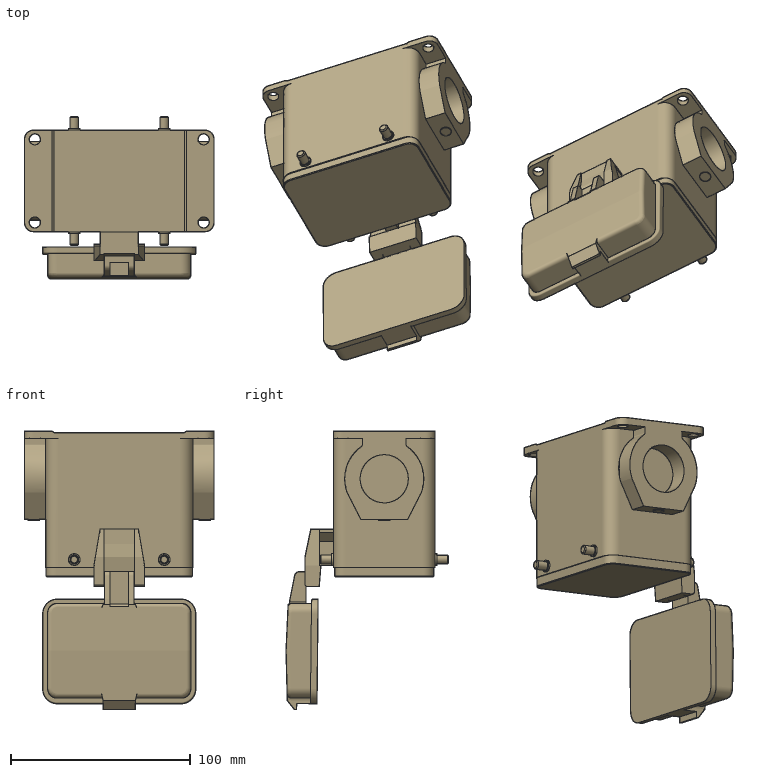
import cadquery as cq
import math


PLATE_LENGTH = 105.5
PLATE_DEPTH = 56.5
PLATE_TOP = 155.0
PLATE_THICKNESS = 4.0
PLATE_BOTTOM = PLATE_TOP - PLATE_THICKNESS
PLATE_CORNER = 5.1
SCREW_HOLE_DIAMETER = 6.0
SCREW_PITCH_X = 94.0
SCREW_PITCH_Y = 46.2
RELIEF_DEPTH = 0.8
RELIEF_TOP_WIDTH = 74.7
RELIEF_FLOOR_WIDTH = 72.4

BODY_LENGTH = 81.8
BODY_CORNER = 7.0
LIP_TOP = 79.0
LIP_BOTTOM = 74.0
LIP_SIDE_INSET = 0.6
LIP_END_INSET = 0.2
LIP_CORNER = 5.7
LIP_CHAMFER = 0.5
FRONT_WALL = -PLATE_DEPTH / 2

ENTRY_Z = 128.5
ENTRY_RADIUS = 22.0
ENTRY_BORE_DIAMETER = 26.8
ENTRY_NECK_WIDTH = 24.3
ENTRY_NECK_HALF = ENTRY_NECK_WIDTH / 2
ENTRY_NECK_FILLET = 1.2
ENTRY_FOOT_HALF = 13.0
ENTRY_FOOT_Z = 105.9
ENTRY_FLANK_Z = 120.7
ENTRY_LENGTH = (PLATE_LENGTH - BODY_LENGTH) / 2
KNOB_RADIUS = 3.1
KNOB_HEIGHT = 0.6
KNOB_X = 47.6

PIN_SPACING = 50.0
PIN_Z = 83.5
PIN_RADIUS = 2.5
PIN_TIP_Y = 35.8
PIN_LENGTH = PIN_TIP_Y - PLATE_DEPTH / 2
PIN_CHAMFER = 0.6
COLLAR_RADIUS = 3.3
COLLAR_LENGTH = 1.0

BRACKET_TOP = 100.5
BRACKET_BOTTOM = 68.5
CAP_THICKNESS = 1.9
CAP_HALF = 10.7
ARM_HALF = 14.1
ARM_TAPER_END = 80.1
ARM_CREASE_Z = 84.8
ARM_BACK = -36.1
ARM_BACK_STEP = 1.0
ARM_TOP_FRONT = -40.9
ARM_FRONT = -44.2
ARM_TOE = 1.0
CHANNEL_HALF = 8.4
CHANNEL_TOP_FRONT = -40.3
CHANNEL_BEND_FRONT = -40.8
CHANNEL_BEND_Z = 92.0
CHANNEL_CREASE_FRONT = -41.8
CHANNEL_WEB_FRONT = -40.9
GUSSET_BOTTOM = 93.6
STEM_HALF = 3.4
STEM_BOTTOM = 80.1

CLEARANCE = 3.1

LID_TILT = -0.6
LID_BACK = -37.0
LID_PEAK = -54.7
LID_EDGE_DROP = 1.0
LID_MIDDLE_Z = 32.7
FLANGE_LENGTH = 85.2
FLANGE_BOTTOM = 3.3
FLANGE_TOP = 61.5
FLANGE_THICKNESS = 3.7
FLANGE_CORNER = 8.2
FLANGE_FILLET = 0.8
DOME_LENGTH = 79.7
DOME_HEIGHT = 52.7
DOME_CORNER = 5.3
DOME_FILLET = 2.3

TAB_HALF = 8.2
TAB_BACK = -43.4
TAB_TOP = 76.9
TAB_OVERLAP = 0.3
TAB_TOP_BACK = CHANNEL_WEB_FRONT + TAB_OVERLAP
TAB_TOP_FRONT = -49.5
TAB_BEND_FRONT = -52.5
TAB_BEND_Z = 61.4
TAB_ROOT_FRONT = -53.3
TAB_ROOT_Z = 55.8
TAB_BLEND_TOP = 58.3
TAB_ROUND = 2.8
TAB_FLARE = 1.5
TAB_FLARE_LOW = 56.7
TAB_FLARE_HIGH = 59.8
TAB_POCKET_HALF = 5.1
TAB_POCKET_FLOOR = 57.3
TAB_POCKET_STEP = 1.4
TAB_POCKET_BACK = -45.3
TAB_POCKET_LIP = -52.7

HOOK_HALF = 9.0
HOOK_ROOT_Z = 10.8
HOOK_SLOPE_TOP = 5.0
HOOK_TIP_FRONT = -49.6
HOOK_TIP_BACK = -48.4
HOOK_TIP_Z = (LID_BACK - HOOK_TIP_BACK) * math.sin(math.radians(LID_TILT))
HOOK_INNER_END = -38.7
HOOK_FLARE = 0.8
HOOK_FLARE_HIGH = 8.4


def side_prism(points, half_width):
    """Prism across X whose outline is given as (y, z) points."""
    return cq.Workplane("YZ").polyline(points).close().extrude(half_width, both=True)


def front_prism(half_outline, start_y, depth):
    """Mirrored prism toward -Y; half_outline lists (x, z) points down the +X side."""
    mirrored = [(-x, z) for x, z in reversed(half_outline)]
    sketch = cq.Workplane("XZ", origin=(0, start_y, 0)).polyline(half_outline + mirrored)
    return sketch.close().extrude(depth)


def rounded_block(length, depth, bottom, top, corner):
    block = cq.Workplane("XY").workplane(offset=bottom).rect(length, depth).extrude(top - bottom)
    return block.edges("|Z").fillet(corner)


def make_housing():
    plate = rounded_block(PLATE_LENGTH, PLATE_DEPTH, PLATE_BOTTOM, PLATE_TOP, PLATE_CORNER)
    holes = (
        cq.Workplane("XY").workplane(offset=PLATE_BOTTOM)
        .rect(SCREW_PITCH_X, SCREW_PITCH_Y, forConstruction=True).vertices()
        .circle(SCREW_HOLE_DIAMETER / 2).extrude(PLATE_THICKNESS)
    )
    relief = (
        cq.Workplane("XZ")
        .moveTo(-RELIEF_TOP_WIDTH / 2, PLATE_TOP)
        .lineTo(RELIEF_TOP_WIDTH / 2, PLATE_TOP)
        .lineTo(RELIEF_FLOOR_WIDTH / 2, PLATE_TOP - RELIEF_DEPTH)
        .lineTo(-RELIEF_FLOOR_WIDTH / 2, PLATE_TOP - RELIEF_DEPTH)
        .close().extrude(PLATE_DEPTH, both=True)
    )
    body = rounded_block(BODY_LENGTH, PLATE_DEPTH, LIP_TOP, PLATE_BOTTOM, BODY_CORNER)
    lip_length = BODY_LENGTH - 2 * LIP_END_INSET
    lip_depth = PLATE_DEPTH - 2 * LIP_SIDE_INSET
    lip = rounded_block(lip_length, lip_depth, LIP_BOTTOM, LIP_TOP, LIP_CORNER)
    lip = lip.faces("<Z").edges().chamfer(LIP_CHAMFER)
    return plate.cut(holes).cut(relief).union(body).union(lip)


def make_entry(side):
    """Cable entry with a blind bore; side is -1 or +1 along X."""
    neck_z = ENTRY_Z + math.sqrt(ENTRY_RADIUS**2 - ENTRY_NECK_HALF**2)
    flank_half = math.sqrt(ENTRY_RADIUS**2 - (ENTRY_Z - ENTRY_FLANK_Z)**2)
    start = cq.Workplane("YZ").workplane(offset=side * PLATE_LENGTH / 2)
    entry = (
        start.moveTo(-ENTRY_NECK_HALF, PLATE_BOTTOM)
        .lineTo(-ENTRY_NECK_HALF, neck_z)
        .threePointArc((-ENTRY_RADIUS, ENTRY_Z), (-flank_half, ENTRY_FLANK_Z))
        .lineTo(-ENTRY_FOOT_HALF, ENTRY_FOOT_Z)
        .lineTo(ENTRY_FOOT_HALF, ENTRY_FOOT_Z)
        .lineTo(flank_half, ENTRY_FLANK_Z)
        .threePointArc((ENTRY_RADIUS, ENTRY_Z), (ENTRY_NECK_HALF, neck_z))
        .lineTo(ENTRY_NECK_HALF, PLATE_BOTTOM)
        .close().extrude(-side * ENTRY_LENGTH)
    )
    reach = ENTRY_NECK_FILLET / 2
    neck_zone = cq.selectors.BoxSelector(
        (-PLATE_LENGTH, -ENTRY_NECK_HALF - reach, neck_z - reach),
        (PLATE_LENGTH, ENTRY_NECK_HALF + reach, neck_z + reach),
    )
    entry = entry.edges("|X").edges(neck_zone).fillet(ENTRY_NECK_FILLET)
    bore = start.center(0, ENTRY_Z).circle(ENTRY_BORE_DIAMETER / 2).extrude(-side * ENTRY_LENGTH)
    knob = (
        cq.Workplane("XY").workplane(offset=ENTRY_FOOT_Z - KNOB_HEIGHT)
        .center(side * KNOB_X, 0).circle(KNOB_RADIUS).extrude(2 * KNOB_HEIGHT)
    )
    return entry.cut(bore).union(knob)


def make_pins(side):
    """Two collared pins on one long wall; side is -1 or +1 along Y."""
    wall = cq.Workplane("XZ", origin=(0, side * PLATE_DEPTH / 2, 0))
    spots = [(-PIN_SPACING / 2, PIN_Z), (PIN_SPACING / 2, PIN_Z)]
    collars = wall.pushPoints(spots).circle(COLLAR_RADIUS).extrude(-side * COLLAR_LENGTH)
    pins = wall.pushPoints(spots).circle(PIN_RADIUS).extrude(-side * PIN_LENGTH)
    tip = ">Y" if side > 0 else "<Y"
    return pins.faces(tip).edges().chamfer(PIN_CHAMFER).union(collars)


def make_bracket():
    arms = side_prism(
        [
            (ARM_BACK, BRACKET_TOP),
            (ARM_TOP_FRONT, BRACKET_TOP),
            (ARM_FRONT, ARM_CREASE_Z),
            (ARM_FRONT, BRACKET_BOTTOM + ARM_TOE),
            (ARM_FRONT + ARM_TOE, BRACKET_BOTTOM),
            (ARM_BACK, BRACKET_BOTTOM),
            (ARM_BACK + ARM_BACK_STEP, STEM_BOTTOM),
            (ARM_BACK, STEM_BOTTOM),
        ],
        ARM_HALF,
    )
    taper = front_prism(
        [
            (CAP_HALF, BRACKET_TOP),
            (ARM_HALF, ARM_TAPER_END),
            (ARM_HALF, BRACKET_BOTTOM),
        ],
        FRONT_WALL,
        FRONT_WALL - ARM_FRONT,
    )
    channel_front = ARM_FRONT - CLEARANCE
    channel = side_prism(
        [
            (CHANNEL_TOP_FRONT, BRACKET_TOP),
            (CHANNEL_BEND_FRONT, CHANNEL_BEND_Z),
            (CHANNEL_CREASE_FRONT, ARM_CREASE_Z),
            (CHANNEL_WEB_FRONT, TAB_TOP),
            (CHANNEL_WEB_FRONT, BRACKET_BOTTOM - CLEARANCE),
            (channel_front, BRACKET_BOTTOM - CLEARANCE),
            (channel_front, BRACKET_TOP),
        ],
        CHANNEL_HALF,
    )
    stem = front_prism(
        [
            (CAP_HALF, BRACKET_TOP),
            (CAP_HALF, BRACKET_TOP - CAP_THICKNESS),
            (STEM_HALF, GUSSET_BOTTOM),
            (STEM_HALF, STEM_BOTTOM),
        ],
        FRONT_WALL,
        FRONT_WALL - ARM_BACK,
    )
    return arms.intersect(taper).cut(channel).union(stem)


def lid_face_y(z):
    """Y of the creased front face of the lid, before it is tilted."""
    return LID_PEAK + LID_EDGE_DROP * abs(z - LID_MIDDLE_Z) / (DOME_HEIGHT / 2)


def make_lid_shell():
    flange_height = FLANGE_TOP - FLANGE_BOTTOM
    flange = (
        cq.Workplane("XZ", origin=(0, LID_BACK, FLANGE_BOTTOM + flange_height / 2))
        .rect(FLANGE_LENGTH, flange_height).extrude(FLANGE_THICKNESS)
        .edges("|Y").fillet(FLANGE_CORNER)
        .faces("<Y").edges().fillet(FLANGE_FILLET)
    )
    dome_low = LID_MIDDLE_Z - DOME_HEIGHT / 2
    dome_high = LID_MIDDLE_Z + DOME_HEIGHT / 2
    dome = side_prism(
        [
            (LID_BACK, dome_low),
            (lid_face_y(dome_low), dome_low),
            (LID_PEAK, LID_MIDDLE_Z),
            (lid_face_y(dome_high), dome_high),
            (LID_BACK, dome_high),
        ],
        DOME_LENGTH / 2,
    )
    dome = dome.edges("|Y").fillet(DOME_CORNER)
    front_zone = cq.selectors.BoxSelector(
        (-DOME_LENGTH, LID_PEAK - CLEARANCE, dome_low - CLEARANCE),
        (DOME_LENGTH, lid_face_y(dome_high) + CLEARANCE, dome_high + CLEARANCE),
    )
    crease = cq.selectors.NearestToPointSelector((0, LID_PEAK, LID_MIDDLE_Z))
    dome = dome.edges(front_zone - crease).fillet(DOME_FILLET)
    return flange.union(dome)


def tab_outline():
    """Front outline of the tab, flared where it meets the lid."""
    wide = TAB_HALF + TAB_FLARE
    return front_prism(
        [
            (TAB_HALF, TAB_TOP),
            (TAB_HALF, TAB_FLARE_HIGH),
            (wide, TAB_FLARE_LOW),
            (wide, TAB_ROOT_Z),
        ],
        LID_BACK,
        LID_BACK - LID_PEAK,
    )


def make_tab_blend():
    """Carries the front face of the lid straight up into the tab."""
    blend = side_prism(
        [
            (TAB_BACK, TAB_ROOT_Z),
            (TAB_BACK, TAB_BLEND_TOP),
            (lid_face_y(TAB_BLEND_TOP), TAB_BLEND_TOP),
            (lid_face_y(TAB_ROOT_Z), TAB_ROOT_Z),
        ],
        TAB_HALF + TAB_FLARE,
    )
    return blend.intersect(tab_outline())


def make_tab():
    profile = side_prism(
        [
            (TAB_BACK, TAB_ROOT_Z),
            (TAB_BACK, BRACKET_BOTTOM),
            (TAB_TOP_BACK, BRACKET_BOTTOM),
            (TAB_TOP_BACK, TAB_TOP),
            (TAB_TOP_FRONT, TAB_TOP),
            (TAB_BEND_FRONT, TAB_BEND_Z),
            (TAB_ROOT_FRONT, TAB_ROOT_Z),
        ],
        TAB_HALF + TAB_FLARE,
    )
    top_front = cq.selectors.NearestToPointSelector((0, TAB_TOP_FRONT, TAB_TOP))
    profile = profile.edges(top_front).fillet(TAB_ROUND)
    return profile.intersect(tab_outline())


def make_tab_pocket():
    """Pocket open at the top and front of the tab, with a sloping sill."""
    sill = TAB_POCKET_FLOOR + TAB_POCKET_STEP
    front = LID_PEAK - CLEARANCE
    return side_prism(
        [
            (TAB_POCKET_BACK, sill),
            (TAB_POCKET_LIP, sill),
            (TAB_ROOT_FRONT, TAB_POCKET_FLOOR),
            (front, TAB_POCKET_FLOOR),
            (front, TAB_TOP),
            (TAB_POCKET_BACK, TAB_TOP),
        ],
        TAB_POCKET_HALF,
    )


def make_hook():
    wide = HOOK_HALF + HOOK_FLARE
    profile = side_prism(
        [
            (HOOK_INNER_END, FLANGE_BOTTOM),
            (HOOK_TIP_BACK, FLANGE_BOTTOM),
            (HOOK_TIP_BACK, HOOK_TIP_Z),
            (HOOK_TIP_FRONT, HOOK_TIP_Z),
            (lid_face_y(HOOK_SLOPE_TOP), HOOK_SLOPE_TOP),
            (lid_face_y(HOOK_ROOT_Z), HOOK_ROOT_Z),
            (HOOK_INNER_END, HOOK_ROOT_Z),
        ],
        wide,
    )
    outline = front_prism(
        [
            (wide, HOOK_ROOT_Z),
            (wide, HOOK_FLARE_HIGH),
            (HOOK_HALF, HOOK_SLOPE_TOP),
            (HOOK_HALF, HOOK_TIP_Z),
        ],
        HOOK_INNER_END,
        HOOK_INNER_END - LID_PEAK,
    )
    return profile.intersect(outline)


lid = make_lid_shell().union(make_hook()).union(make_tab_blend())
lid = lid.rotate((0, LID_BACK, LID_MIDDLE_Z), (1, LID_BACK, LID_MIDDLE_Z), LID_TILT)
lid = lid.union(make_tab()).cut(make_tab_pocket())

result = make_housing().union(make_bracket()).union(lid)
for side in (-1, 1):
    result = result.union(make_entry(side)).union(make_pins(side))